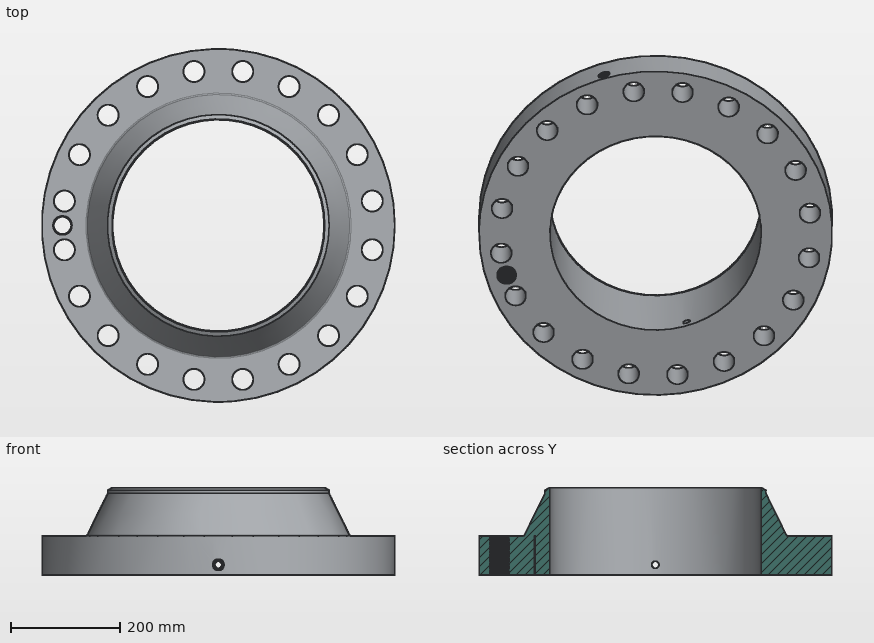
import cadquery as cq
import math

flange_diameter = 647.7
flange_thickness = 72.2
overall_height = 160.32

bore_diameter = 387.35
pipe_diameter = 406.4
hub_base_diameter = 482.6
hub_base_fillet = 3.0
neck_land_height = 6.0
weld_face_width = 1.6
weld_bevel_angle = 30.0

bolt_circle_diameter = 571.5
bolt_hole_diameter = 38.1
bolt_count = 20
jack_major_diameter = 34.925
jack_pitch = 25.4 / 8

tap_height = 19.05
tap_hole_diameter = 12.7
tap_major_diameter = 21.0
tap_pitch = 25.4 / 14
tap_thread_length = 20.0
tap_taper = 1 / 16

thread_depth_ratio = 0.54

edge_tolerance = 0.01


def make_body():
    """Revolved flange ring with its tapered, bevelled weld neck."""
    bore_radius = bore_diameter / 2
    pipe_radius = pipe_diameter / 2
    weld_face_radius = bore_radius + weld_face_width
    bevel_height = (pipe_radius - weld_face_radius) * math.tan(math.radians(weld_bevel_angle))
    bevel_base = overall_height - bevel_height
    profile = (
        cq.Workplane("XZ")
        .moveTo(bore_radius, 0)
        .lineTo(flange_diameter / 2, 0)
        .lineTo(flange_diameter / 2, flange_thickness)
        .lineTo(hub_base_diameter / 2, flange_thickness)
        .lineTo(pipe_radius, bevel_base - neck_land_height)
        .lineTo(pipe_radius, bevel_base)
        .lineTo(weld_face_radius, overall_height)
        .lineTo(bore_radius, overall_height)
        .close()
    )
    body = profile.revolve(360, (0, 0, 0), (0, 1, 0))
    hub_base_edge = cq.selectors.BoxSelector(
        (-hub_base_diameter, -hub_base_diameter, flange_thickness - edge_tolerance),
        (hub_base_diameter, hub_base_diameter, flange_thickness + edge_tolerance),
    )
    inner_circle = cq.selectors.RadiusNthSelector(0)
    return body.edges(hub_base_edge).edges(inner_circle).fillet(hub_base_fillet)


def make_bolt_holes():
    """Through holes straddling the X and Y axes."""
    return (
        cq.Workplane("XY")
        .polarArray(bolt_circle_diameter / 2, 180 / bolt_count, 360, bolt_count)
        .circle(bolt_hole_diameter / 2)
        .extrude(flange_thickness)
    )


def make_thread(major_diameter, pitch, length, diameter_taper=0.0):
    """Cutter along +Z from the origin: a threaded bore, open at full diameter at both ends."""
    groove_depth = thread_depth_ratio * pitch
    thread_count = round(length / pitch)
    fitted_pitch = length / thread_count

    def root_radius(height):
        return (major_diameter - diameter_taper * height) / 2

    outline = cq.Workplane("XZ").moveTo(0, 0).lineTo(root_radius(0), 0)
    for index in range(thread_count):
        crest_height = (index + 0.5) * fitted_pitch
        root_height = (index + 1) * fitted_pitch
        outline = outline.lineTo(root_radius(crest_height) - groove_depth, crest_height)
        outline = outline.lineTo(root_radius(root_height), root_height)
    return outline.lineTo(0, length).close().revolve(360, (0, 0, 0), (0, 1, 0))


def make_jack_hole():
    """Threaded through hole for the jack screw, on the bolt circle at -X."""
    thread = make_thread(jack_major_diameter, jack_pitch, flange_thickness)
    return thread.translate((-bolt_circle_diameter / 2, 0, 0))


def make_tap():
    """Pressure tap entering from the -Y rim: threaded mouth, then a plain hole to the bore."""
    rim = -flange_diameter / 2
    thread = (
        make_thread(tap_major_diameter, tap_pitch, tap_thread_length, tap_taper)
        .rotate((0, 0, 0), (1, 0, 0), -90)
        .translate((0, rim, tap_height))
    )
    hole = (
        cq.Workplane("XZ", origin=(0, rim, tap_height))
        .circle(tap_hole_diameter / 2)
        .extrude(rim)
    )
    return thread.union(hole)


tap = make_tap()
result = (
    make_body()
    .cut(make_bolt_holes())
    .cut(make_jack_hole())
    .cut(tap)
    .cut(tap.rotate((0, 0, 0), (0, 0, 1), 180))
)